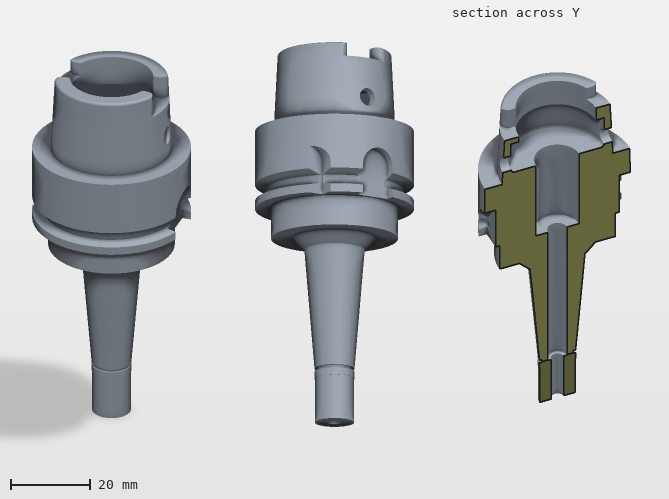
import cadquery as cq
import math

TOTAL_HEIGHT = 95.0

SHANK_LENGTH = 19.95
SHANK_BASE_RADIUS = 15.3
SHANK_SLOPE = 0.05
SHANK_RIM_ROUND = 0.8
CAVITY_MOUTH_RADIUS = 10.5
CAVITY_MOUTH_DEPTH = 7.7
CAVITY_RADIUS = 12.7
CAVITY_FLOOR_Z = 78.0
CAVITY_FLOOR_ROUND = 0.95

FLANGE_DIAMETER = 40.0
FLANGE_HEIGHT = 20.0
GROOVE_RADIUS = 17.4
GROOVE_MOUTH_TOP_Z = 61.2
GROOVE_FLOOR_TOP_Z = 59.9
GROOVE_FLOOR_BOTTOM_Z = 57.9
GROOVE_MOUTH_BOTTOM_Z = 57.1

HUB_RADIUS = 16.0
HUB_BOTTOM_Z = 47.4
SHOULDER_BOTTOM_Z = 44.6
NECK_TOP_RADIUS = 7.6
NECK_BOTTOM_Z = 13.9

NUT_HEIGHT = 13.1
NUT_RADIUS = 4.9
NUT_COLLAR_RADIUS = 5.0
NUT_COLLAR_BOTTOM_Z = 11.3
NUT_BORE_RADIUS = 1.6
SPIGOT_RADIUS = 4.5

POCKET_RADIUS = 5.9
POCKET_FLOOR_Z = 55.1
CHANNEL_RADIUS = 2.6

KEYWAY_WIDTH = 8.1
KEYWAY_FLAT_X = 13.0
KEYWAY_CORNER_RADIUS = 1.9
LEFT_KEYWAY_DEPTH = 3.6
RIGHT_KEYWAY_DEPTH = 5.9

CROSS_HOLE_RADIUS = 2.3
CROSS_HOLE_Z = 81.1

FLANGE_SLOT_FLOOR_X = 17.0
LEFT_SLOT_WIDTH = 8.9
RIGHT_SLOT_WIDTH = 11.0
FLANGE_SLOT_TOP_Z = 67.1
NOTCH_FLOOR_X = 12.2
NOTCH_CENTER_Y = 16.1
NOTCH_WIDTH = 8.1
NOTCH_TOP_Z = 67.0

FLANGE_RADIUS = FLANGE_DIAMETER / 2
FLANGE_TOP_Z = TOTAL_HEIGHT - SHANK_LENGTH
FLANGE_BOTTOM_Z = FLANGE_TOP_Z - FLANGE_HEIGHT
SHANK_RIM_RADIUS = SHANK_BASE_RADIUS - SHANK_SLOPE * SHANK_LENGTH
CAVITY_MOUTH_Z = TOTAL_HEIGHT - CAVITY_MOUTH_DEPTH
SHOULDER_TOP_RADIUS = NECK_TOP_RADIUS + HUB_BOTTOM_Z - SHOULDER_BOTTOM_Z
CUT_REACH = FLANGE_RADIUS + 0.95


def revolve(profile_points):
    """Solid of revolution about Z from (radius, height) points."""
    return cq.Workplane("XZ").polyline(profile_points).close().revolve(360, (0, 0, 0), (0, 1, 0))


def holder_blank():
    body = revolve([
        (0, NUT_HEIGHT),
        (SPIGOT_RADIUS, NUT_HEIGHT),
        (SPIGOT_RADIUS, NECK_BOTTOM_Z),
        (NUT_COLLAR_RADIUS, NECK_BOTTOM_Z),
        (NECK_TOP_RADIUS, SHOULDER_BOTTOM_Z),
        (SHOULDER_TOP_RADIUS, HUB_BOTTOM_Z),
        (HUB_RADIUS, HUB_BOTTOM_Z),
        (HUB_RADIUS, FLANGE_BOTTOM_Z),
        (FLANGE_RADIUS, FLANGE_BOTTOM_Z),
        (FLANGE_RADIUS, GROOVE_MOUTH_BOTTOM_Z),
        (GROOVE_RADIUS, GROOVE_FLOOR_BOTTOM_Z),
        (GROOVE_RADIUS, GROOVE_FLOOR_TOP_Z),
        (FLANGE_RADIUS, GROOVE_MOUTH_TOP_Z),
        (FLANGE_RADIUS, FLANGE_TOP_Z),
        (SHANK_BASE_RADIUS, FLANGE_TOP_Z),
        (SHANK_RIM_RADIUS, TOTAL_HEIGHT),
        (0, TOTAL_HEIGHT),
    ])
    return body.faces(">Z").edges().fillet(SHANK_RIM_ROUND)


def clamping_cavity():
    """Cavity behind a narrower mouth, with a rounded floor corner."""
    cavity = revolve([
        (0, CAVITY_FLOOR_Z),
        (CAVITY_RADIUS, CAVITY_FLOOR_Z),
        (CAVITY_RADIUS, CAVITY_MOUTH_Z),
        (CAVITY_MOUTH_RADIUS, CAVITY_MOUTH_Z),
        (CAVITY_MOUTH_RADIUS, TOTAL_HEIGHT),
        (0, TOTAL_HEIGHT),
    ])
    return cavity.faces("<Z").edges().fillet(CAVITY_FLOOR_ROUND)


def stepped_bore():
    """Pocket under the cavity floor, narrowing to a channel down to the end of the neck."""
    return revolve([
        (0, NUT_HEIGHT),
        (CHANNEL_RADIUS, NUT_HEIGHT),
        (CHANNEL_RADIUS, POCKET_FLOOR_Z),
        (POCKET_RADIUS, POCKET_FLOOR_Z),
        (POCKET_RADIUS, CAVITY_FLOOR_Z),
        (0, CAVITY_FLOOR_Z),
    ])


def keyway(side, depth):
    """Rim keyway on the side -1 (-X) or +1 (+X), rounded into a flat on either side of it."""
    half_width = KEYWAY_WIDTH / 2
    flat_x = side * KEYWAY_FLAT_X
    corner_x = side * (KEYWAY_FLAT_X - KEYWAY_CORNER_RADIUS)
    corner_y = half_width + KEYWAY_CORNER_RADIUS
    arc_inset = KEYWAY_CORNER_RADIUS * (1 - math.cos(math.radians(45)))
    arc_mid_x = side * (KEYWAY_FLAT_X - arc_inset)
    arc_mid_y = half_width + arc_inset
    outer_x = side * CUT_REACH
    return (
        cq.Workplane("XY", origin=(0, 0, TOTAL_HEIGHT - depth))
        .moveTo(0, -half_width)
        .lineTo(corner_x, -half_width)
        .threePointArc((arc_mid_x, -arc_mid_y), (flat_x, -corner_y))
        .lineTo(flat_x, -CUT_REACH)
        .lineTo(outer_x, -CUT_REACH)
        .lineTo(outer_x, CUT_REACH)
        .lineTo(flat_x, CUT_REACH)
        .lineTo(flat_x, corner_y)
        .threePointArc((arc_mid_x, arc_mid_y), (corner_x, half_width))
        .lineTo(0, half_width)
        .close()
        .extrude(depth)
    )


def cross_hole():
    return (
        cq.Workplane("YZ", origin=(-CUT_REACH, 0, CROSS_HOLE_Z))
        .circle(CROSS_HOLE_RADIUS)
        .extrude(2 * CUT_REACH)
    )


def flange_slot(side, floor_x, center_y, width, top_z):
    """Round-topped slot open at the flange bottom, cut inward along X to a flat floor."""
    half_width = width / 2
    arch_z = top_z - half_width
    return (
        cq.Workplane("YZ", origin=(side * floor_x, 0, 0))
        .moveTo(center_y - half_width, FLANGE_BOTTOM_Z)
        .lineTo(center_y - half_width, arch_z)
        .threePointArc((center_y, top_z), (center_y + half_width, arch_z))
        .lineTo(center_y + half_width, FLANGE_BOTTOM_Z)
        .close()
        .extrude(side * (CUT_REACH - floor_x))
    )


def make_holder():
    return (
        holder_blank()
        .cut(clamping_cavity())
        .cut(stepped_bore())
        .cut(keyway(-1, LEFT_KEYWAY_DEPTH))
        .cut(keyway(1, RIGHT_KEYWAY_DEPTH))
        .cut(cross_hole())
        .cut(flange_slot(-1, FLANGE_SLOT_FLOOR_X, 0, LEFT_SLOT_WIDTH, FLANGE_SLOT_TOP_Z))
        .cut(flange_slot(1, FLANGE_SLOT_FLOOR_X, 0, RIGHT_SLOT_WIDTH, FLANGE_SLOT_TOP_Z))
        .cut(flange_slot(-1, NOTCH_FLOOR_X, NOTCH_CENTER_Y, NOTCH_WIDTH, NOTCH_TOP_Z))
    )


def make_nut():
    """Bored nut seated on the end face of the neck, with a slightly larger collar at its top."""
    return revolve([
        (NUT_BORE_RADIUS, 0),
        (NUT_RADIUS, 0),
        (NUT_RADIUS, NUT_COLLAR_BOTTOM_Z),
        (NUT_COLLAR_RADIUS, NUT_COLLAR_BOTTOM_Z),
        (NUT_COLLAR_RADIUS, NUT_HEIGHT),
        (NUT_BORE_RADIUS, NUT_HEIGHT),
    ])


holder = make_holder()
nut = make_nut()
result = cq.Compound.makeCompound([holder.solids().val(), nut.val()])